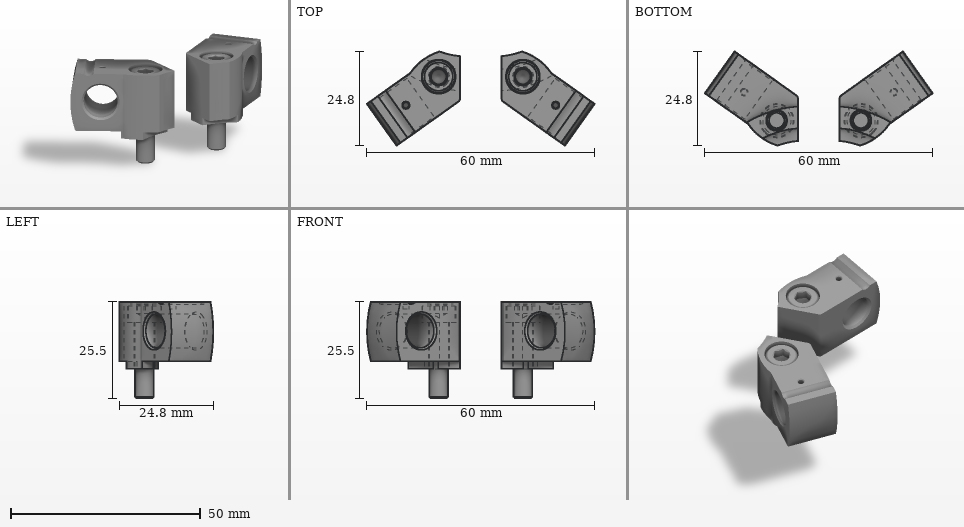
import cadquery as cq
import math


tilt = 35.4
block_height = 15.7
end_reach = 19.55
front_reach = 8.4
back_reach = 5.1
inner_reach = 5.65
dome_radius = 25.0
shoulder_radius = 14.95
shoulder_center = (-0.55, -8.95)
corner_radius = 1.0
screw_offset = 11.1
oversize = 36.0

arc_center = (7.5, 26.45)
scallop_radius = 21.1
key_inner_radius = 24.45
key_outer_radius = 30.15
key_height = 2.0

bore_diameter = 8.95
bore_mouth_diameter = 10.0
bore_to_end = 8.0
bore_height = 8.05
marker_diameter = 1.55
marker_mouth_diameter = 2.0
marker_depth = 1.8
marker_to_end = 8.15
marker_across = -1.15
groove_width = 2.5
groove_depth = 0.6
groove_to_end = 4.8

shank_diameter = 5.0
clearance_diameter = 5.5
head_diameter = 8.5
head_height = 5.0
head_chamfer = 0.55
seat_diameter = 9.0
head_sink = 0.5
screw_length = 19.95
tip_chamfer = 0.5
socket_flats = 4.0
socket_mouth_diameter = 4.7
socket_depth = 2.5
socket_turn = tilt + 30
drill_angle = 120.0

head_top = block_height - head_sink
seat_floor = head_top - head_height


def cylinder(diameter, bottom, top, center=(0, 0)):
    """Upright cylinder between two heights."""
    return cq.Workplane("XY", origin=(*center, bottom)).circle(diameter / 2).extrude(top - bottom)


def cone(bottom_diameter, top_diameter, bottom, top, center=(0, 0)):
    """Upright cone, or a frustum, between two heights."""
    solid = cq.Solid.makeCone(bottom_diameter / 2, top_diameter / 2, top - bottom, cq.Vector(*center, bottom))
    return cq.Workplane(obj=solid)


def block_outline(bottom, top):
    """Straight block with its rounded shoulder, cut square on the inner side."""
    height = top - bottom
    plane = cq.Workplane("XY", origin=(0, 0, bottom))
    bar = plane.rect(2 * end_reach, front_reach + back_reach).extrude(height)
    bar = bar.translate((0, (back_reach - front_reach) / 2, 0))
    shoulder = plane.center(*shoulder_center).circle(shoulder_radius).extrude(height)
    behind_front = plane.center(0, oversize / 2 - front_reach).rect(2 * oversize, oversize).extrude(height)
    outline = bar.union(shoulder.intersect(behind_front))
    outline = outline.rotate((0, 0, 0), (0, 0, 1), tilt)
    return outline.intersect(
        plane.center(inner_reach - oversize, 0).rect(2 * oversize, 2 * oversize).extrude(height)
    )


def key_band():
    """Curved key that stands out below the block."""
    band = cylinder(2 * key_outer_radius, -key_height, 0, arc_center)
    return band.cut(cylinder(2 * key_inner_radius, -key_height, 0, arc_center))


def dome():
    """Cylinder across the block that rounds its outer end."""
    rod = cq.Workplane("XZ", origin=(dome_radius - end_reach, 0, block_height / 2))
    return rod.circle(dome_radius).extrude(oversize, both=True)


def cross_bore():
    """Bore from front to back with a 45 degree chamfer at each mouth."""
    r = bore_diameter / 2
    mouth = bore_mouth_diameter / 2
    chamfer = mouth - r
    profile = [
        (0, -front_reach), (mouth, -front_reach), (r, chamfer - front_reach),
        (r, back_reach - chamfer), (mouth, back_reach), (0, back_reach),
    ]
    bore = cq.Workplane("XY").polyline(profile).close().revolve(360, (0, 0, 0), (0, 1, 0))
    return bore.translate((bore_to_end - end_reach, 0, bore_height))


def top_groove():
    """Shallow round-bottomed groove parallel to the domed end."""
    radius = (groove_width ** 2 / 4 + groove_depth ** 2) / (2 * groove_depth)
    axis = (groove_to_end - end_reach, 0, block_height - groove_depth + radius)
    return cq.Workplane("XZ", origin=axis).circle(radius).extrude(oversize, both=True)


def marker_hole():
    """Small blind hole above the cross bore, with a chamfered mouth."""
    center = (marker_to_end - end_reach, marker_across)
    chamfer = (marker_mouth_diameter - marker_diameter) / 2
    hole = cylinder(marker_diameter, block_height - marker_depth, block_height, center)
    return hole.union(
        cone(marker_diameter, marker_mouth_diameter, block_height - chamfer, block_height, center)
    )


def make_block():
    """Clamp block with its key, bores and screw seat."""
    upper = block_outline(0, block_height)
    upper = upper.cut(cylinder(2 * scallop_radius, 0, block_height, arc_center))
    upper = upper.edges("|Z").edges(">X").edges("<Y").fillet(corner_radius)
    key = block_outline(-key_height, 0).intersect(key_band())
    block = upper.union(key)
    block = block.rotate((0, 0, 0), (0, 0, 1), -tilt)
    block = block.intersect(dome())
    block = block.cut(cross_bore()).cut(top_groove()).cut(marker_hole())
    block = block.rotate((0, 0, 0), (0, 0, 1), tilt)
    block = block.cut(cylinder(seat_diameter, seat_floor, block_height))
    return block.cut(cylinder(clearance_diameter, -key_height, seat_floor))


def make_screw():
    """Socket head screw standing in its seat."""
    tip = seat_floor - screw_length
    head = cylinder(head_diameter, seat_floor, head_top).faces(">Z").chamfer(head_chamfer)
    shank = cylinder(shank_diameter, tip, seat_floor).faces("<Z").chamfer(tip_chamfer)
    socket_floor = head_top - socket_depth
    corners = socket_flats / math.cos(math.pi / 6)
    socket = cq.Workplane("XY", origin=(0, 0, socket_floor)).polygon(6, corners).extrude(socket_depth)
    socket = socket.rotate((0, 0, 0), (0, 0, 1), socket_turn)
    drill_depth = socket_flats / 2 / math.tan(math.radians(drill_angle / 2))
    drill_point = cone(0, socket_flats, socket_floor - drill_depth, socket_floor)
    mouth_depth = (socket_mouth_diameter - socket_flats) / 2
    mouth = cone(socket_flats, socket_mouth_diameter, head_top - mouth_depth, head_top)
    return head.union(shank).cut(socket).cut(drill_point).cut(mouth)


bodies = []
for make_body in (make_block, make_screw):
    left = make_body().translate((-screw_offset, 0, 0))
    right = left.mirror("YZ")
    bodies += [left.val(), right.val()]

result = cq.Compound.makeCompound(bodies)